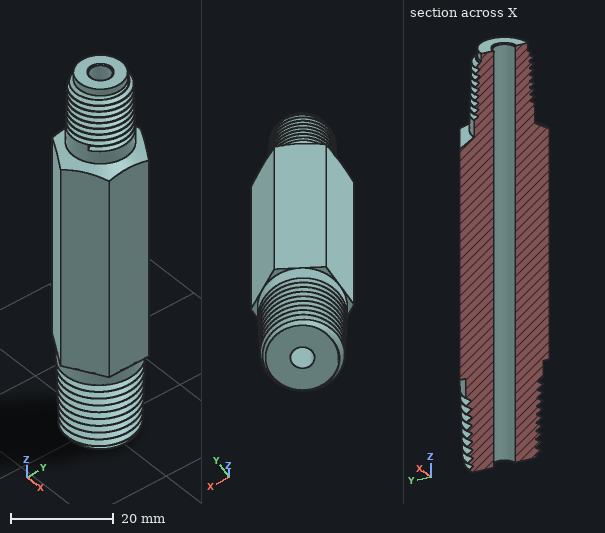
import cadquery as cq
import math

TOTAL_LENGTH = 88.9
HEX_ACROSS_FLATS = 17.4625
HEX_ACROSS_CORNERS = HEX_ACROSS_FLATS / math.cos(math.radians(30))
HEX_CHAMFER_ANGLE = 30.0
BORE_DIAMETER = 4.7
BORE_MOUTH_DIAMETER = 5.2

TAPER = 1 / 32

LARGE_END_LENGTH = 20.32
LARGE_RADIUS = HEX_ACROSS_FLATS / 2
LARGE_CONE_LENGTH = 17.6
LARGE_TIP_RADIUS = 7.2
LARGE_CHAMFER_LENGTH = 1.0
LARGE_PITCH = 1.75
LARGE_GROOVE_DEPTH = 1.2
LARGE_GROOVE_WIDTH = 1.63
LARGE_GROOVE_END = 16.85
LARGE_GROOVE_END_ANGLE = 40.0
LARGE_TURNS = 11

SMALL_END_LENGTH = 17.46
SMALL_RADIUS = 6.858
SMALL_CONE_LENGTH = 15.1
NOSE_RADIUS = 5.3
NOSE_LENGTH = 1.65
SMALL_CHAMFER_LENGTH = 1.15
SMALL_PITCH = 1.411
SMALL_GROOVE_DEPTH = 0.95
SMALL_GROOVE_WIDTH = 1.2
SMALL_GROOVE_END = 13.85
SMALL_GROOVE_END_ANGLE = 60.0
SMALL_TURNS = 9

CUTTER_OVERLAP = 0.08


def taper_radius(z, full_radius, cone_length):
    """Crest radius of the thread cone at height z above the tip."""
    return full_radius - (cone_length - z) * TAPER


def end_blank(length, full_radius, cone_length, tip_radius, nose_length, chamfer_length):
    """Unthreaded end, tip at Z = 0: nose, lead-in chamfer, tapered cone and cylinder."""
    chamfer_top = nose_length + chamfer_length
    profile = cq.Workplane("XZ").lineTo(tip_radius, 0)
    if nose_length > 0:
        profile = profile.lineTo(tip_radius, nose_length)
    return (
        profile
        .lineTo(taper_radius(chamfer_top, full_radius, cone_length), chamfer_top)
        .lineTo(full_radius, cone_length)
        .lineTo(full_radius, length)
        .lineTo(0, length)
        .close()
        .revolve(360, (0, 0, 0), (0, 1, 0))
    )


def thread_cutter(full_radius, cone_length, pitch, depth, width, groove_end, end_angle, turns):
    """Right-hand V groove that follows the cone and stops at groove_end."""
    height = turns * pitch
    start = groove_end - height
    crest = taper_radius(start, full_radius, cone_length)
    root = crest - depth
    half_mouth = width / 2 * (depth + CUTTER_OVERLAP) / depth
    path = cq.Wire.makeHelix(
        pitch, height, crest, center=cq.Vector(0, 0, start), angle=math.degrees(math.atan(TAPER))
    )
    return (
        cq.Workplane("XZ")
        .moveTo(root, start)
        .lineTo(crest + CUTTER_OVERLAP, start + half_mouth)
        .lineTo(crest + CUTTER_OVERLAP, start - half_mouth)
        .close()
        .sweep(cq.Workplane(path), isFrenet=True)
        .rotate((0, 0, 0), (0, 0, 1), end_angle)
    )


def hex_body():
    """Hexagon with corners on the Y axis; its upper edge is turned to a shallow cone."""
    bottom = LARGE_END_LENGTH
    top = TOTAL_LENGTH - SMALL_END_LENGTH
    outer_radius = HEX_ACROSS_CORNERS
    cone_drop = (outer_radius - SMALL_RADIUS) * math.tan(math.radians(HEX_CHAMFER_ANGLE))
    prism = (
        cq.Workplane("XY", origin=(0, 0, bottom))
        .polygon(6, HEX_ACROSS_CORNERS)
        .extrude(top - bottom)
        .rotate((0, 0, 0), (0, 0, 1), 90)
    )
    envelope = (
        cq.Workplane("XZ")
        .moveTo(0, bottom)
        .lineTo(outer_radius, bottom)
        .lineTo(outer_radius, top - cone_drop)
        .lineTo(SMALL_RADIUS, top)
        .lineTo(0, top)
        .close()
        .revolve(360, (0, 0, 0), (0, 1, 0))
    )
    return prism.intersect(envelope)


def large_end():
    blank = end_blank(
        LARGE_END_LENGTH, LARGE_RADIUS, LARGE_CONE_LENGTH, LARGE_TIP_RADIUS, 0, LARGE_CHAMFER_LENGTH
    )
    cutter = thread_cutter(
        LARGE_RADIUS, LARGE_CONE_LENGTH, LARGE_PITCH, LARGE_GROOVE_DEPTH, LARGE_GROOVE_WIDTH,
        LARGE_GROOVE_END, LARGE_GROOVE_END_ANGLE, LARGE_TURNS,
    )
    return blank.cut(cutter)


def small_end():
    """Built tip down, then turned over so that its tip is the top of the part."""
    blank = end_blank(
        SMALL_END_LENGTH, SMALL_RADIUS, SMALL_CONE_LENGTH, NOSE_RADIUS, NOSE_LENGTH, SMALL_CHAMFER_LENGTH
    )
    cutter = thread_cutter(
        SMALL_RADIUS, SMALL_CONE_LENGTH, SMALL_PITCH, SMALL_GROOVE_DEPTH, SMALL_GROOVE_WIDTH,
        SMALL_GROOVE_END, SMALL_GROOVE_END_ANGLE, SMALL_TURNS,
    )
    return (
        blank.cut(cutter)
        .rotate((0, 0, 0), (1, 0, 0), 180)
        .translate((0, 0, TOTAL_LENGTH))
    )


def bore():
    """Through bore with a 45 degree chamfer at the upper mouth."""
    radius = BORE_DIAMETER / 2
    mouth_radius = BORE_MOUTH_DIAMETER / 2
    return (
        cq.Workplane("XZ")
        .lineTo(radius, 0)
        .lineTo(radius, TOTAL_LENGTH - (mouth_radius - radius))
        .lineTo(mouth_radius, TOTAL_LENGTH)
        .lineTo(0, TOTAL_LENGTH)
        .close()
        .revolve(360, (0, 0, 0), (0, 1, 0))
    )


result = hex_body().union(large_end()).union(small_end()).cut(bore())